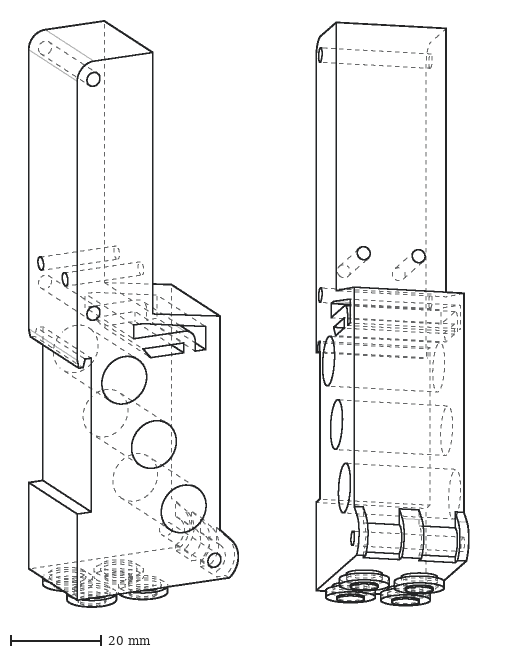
import cadquery as cq
import math

width = 25.0
body_height = 124.9
fitting_height = 3.0

body_depth = 35.0
upper_depth = 18.5
upper_bottom = 64.0
shoulder_drop = 2.8
shoulder_bottom = upper_bottom - shoulder_drop
top_round = 4.1
groove_depth = 3.5
groove_bottom = 20.1
groove_top = 55.9
hook_tip = 54.0
hook_tip_front = 0.4
hook_tip_back = 1.4
hook_root_back = 1.9

pivot_y = 33.6
pivot_z = 4.6
lug_radius = 5.9
hub_radius = 3.6
outer_lug_width = 2.0
center_lug_width = 4.5
lug_gap_width = (width - center_lug_width) / 2 - outer_lug_width

pin_diameter = 3.2
hinge_pin_y = 4.0
lower_hinge_z = 66.2
upper_hinge_z = 120.7
port_diameter = 11.0
port_count = 3
middle_port_y = 18.8
middle_port_z = 33.6
port_step_y = 7.3
port_step_z = 16.0
screw_diameter = 3.0
screw_z = 72.9

slot_bottom = 54.0
slot_back = 31.5
slot_front = 13.8
slot_top = 62.1
slot_back_top = 59.3
slot_top_back = 16.1
arm_top = 59.0
arm_back = 28.9
arm_round = 2.5
arm_slot_top = 56.3
arm_slot_back = 26.1
arm_slot_front = 16.1
arm_slot_lean = 1.9

column_x = 6.3
fitting_rows = (6.5, 19.0)
neck_diameter = 8.0
neck_height = 1.0
collar_diameter = 11.0
collar_height = 1.5
lip_diameter = 6.1


def side_sketch():
    """Workplane on the left side of the part, in (Y, Z), ready to extrude over the width."""
    return cq.Workplane("YZ").workplane(offset=-width / 2)


def cross_cylinder(y, z, diameter, length=width, x_center=0):
    """Cylinder along X, centred on x_center."""
    start = x_center - length / 2
    return cq.Workplane("YZ").workplane(offset=start).center(y, z).circle(diameter / 2).extrude(length)


def make_body():
    """Full-width block with the stepped side outline, lug lobe, front groove and hook."""
    underside_y = pivot_y + math.sqrt(lug_radius**2 - pivot_z**2)
    tangent_offset = lug_radius * math.sqrt(0.5)
    tangent_y = pivot_y + tangent_offset
    tangent_z = pivot_z + tangent_offset
    slope_top = tangent_z + tangent_y - body_depth
    outline = (
        side_sketch()
        .moveTo(0, 0)
        .lineTo(underside_y, 0)
        .threePointArc((pivot_y + lug_radius, pivot_z), (tangent_y, tangent_z))
        .lineTo(body_depth, slope_top)
        .lineTo(body_depth, shoulder_bottom)
        .lineTo(upper_depth, upper_bottom)
        .lineTo(upper_depth, body_height)
        .lineTo(top_round, body_height)
        .radiusArc((0, body_height - top_round), -top_round)
        .lineTo(0, groove_top)
        .lineTo(hook_tip_front, hook_tip)
        .lineTo(hook_tip_back, hook_tip)
        .lineTo(hook_root_back, groove_top)
        .lineTo(groove_depth, groove_top)
        .lineTo(groove_depth, groove_bottom)
        .lineTo(0, groove_bottom)
        .close()
    )
    return outline.extrude(width)


def make_lug_gap(x_center):
    """Material removed between two lugs, leaving a smaller round hub about the pivot."""
    gap_depth = 2 * lug_radius
    gap = cq.Workplane("XY").box(lug_gap_width, gap_depth, 4 * lug_radius)
    gap = gap.translate((x_center, body_depth + gap_depth / 2, pivot_z))
    return gap.cut(cross_cylinder(pivot_y, pivot_z, 2 * hub_radius, lug_gap_width, x_center))


def make_latch_slots():
    """Angled slot that wraps over the latch arm, and the short slot beneath the arm."""
    upper_slot = (
        side_sketch()
        .moveTo(slot_back, slot_bottom)
        .lineTo(slot_back, slot_back_top)
        .lineTo(slot_top_back, slot_top)
        .lineTo(slot_front, slot_top)
        .lineTo(slot_front, arm_top)
        .lineTo(arm_back - arm_round, arm_top)
        .radiusArc((arm_back, arm_top - arm_round), arm_round)
        .lineTo(arm_back, slot_bottom)
        .close()
        .extrude(width)
    )
    lower_slot = (
        side_sketch()
        .moveTo(arm_slot_back, slot_bottom)
        .lineTo(arm_slot_back, arm_slot_top)
        .lineTo(arm_slot_front, arm_slot_top)
        .lineTo(arm_slot_front + arm_slot_lean, slot_bottom)
        .close()
        .extrude(width)
    )
    return upper_slot.union(lower_slot)


def make_fitting(x, y):
    """Neck, collar and end lip stacked downwards from the body underside."""
    lip_height = fitting_height - neck_height - collar_height
    fitting = cq.Workplane("XY").center(x, y).circle(neck_diameter / 2).extrude(-neck_height)
    fitting = fitting.faces("<Z").workplane().circle(collar_diameter / 2).extrude(collar_height)
    return fitting.faces("<Z").workplane().circle(lip_diameter / 2).extrude(lip_height)


result = make_body().cut(make_latch_slots())

gap_x = (center_lug_width + lug_gap_width) / 2
for side in (-1, 1):
    result = result.cut(make_lug_gap(side * gap_x))

pin_positions = ((pivot_y, pivot_z), (hinge_pin_y, lower_hinge_z), (hinge_pin_y, upper_hinge_z))
for y, z in pin_positions:
    result = result.cut(cross_cylinder(y, z, pin_diameter))
for index in range(port_count):
    step = index - (port_count - 1) / 2
    port_y = middle_port_y - step * port_step_y
    port_z = middle_port_z + step * port_step_z
    result = result.cut(cross_cylinder(port_y, port_z, port_diameter))

for x in (-column_x, column_x):
    screw_hole = cq.Workplane("XZ").center(x, screw_z).circle(screw_diameter / 2).extrude(-upper_depth)
    result = result.cut(screw_hole)
    for y in fitting_rows:
        result = result.union(make_fitting(x, y))